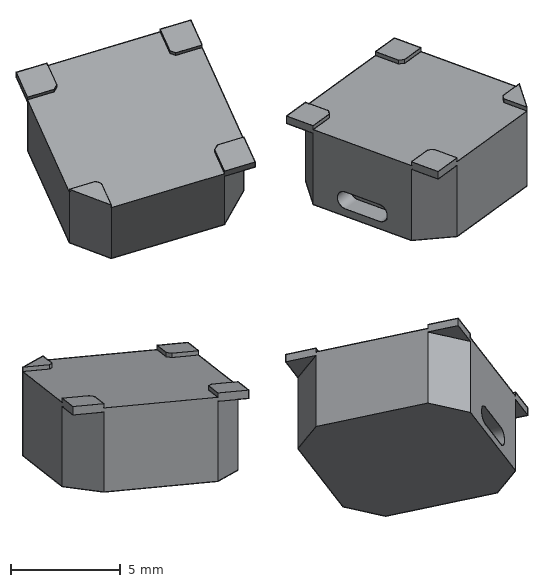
import cadquery as cq

side = 8.5
total_height = 4.2
pad_step = 0.2
body_height = total_height - pad_step
corner_cut = 1.5

pad_side = corner_cut
pad_thickness = 0.4
pad_inner_chamfer = 0.2

slot_length = 2.8
slot_height = 0.9
slot_center_z = 0.85
slot_depth = 1.0

half = side / 2


def make_body():
    block = cq.Workplane("XY").box(side, side, body_height, centered=(True, True, False))
    return block.edges("|Z").chamfer(corner_cut)


def make_pad(x_sign, y_sign):
    """Square pad filling one corner, with the pad corner nearest the centre chamfered."""
    center = half - pad_side / 2
    bottom_z = total_height - pad_thickness
    inner_x = "<X" if x_sign > 0 else ">X"
    inner_y = "<Y" if y_sign > 0 else ">Y"
    return (
        cq.Workplane("XY", origin=(x_sign * center, y_sign * center, bottom_z))
        .box(pad_side, pad_side, pad_thickness, centered=(True, True, False))
        .edges(f"|Z and {inner_x} and {inner_y}")
        .chamfer(pad_inner_chamfer)
    )


def make_pad_trim():
    """Triangular prism that trims the +X -Y pad flush with the body's cut corner."""
    return (
        cq.Workplane("XY")
        .moveTo(half, -half)
        .lineTo(half, -half + corner_cut)
        .lineTo(half - corner_cut, -half)
        .close()
        .extrude(total_height)
    )


def make_slot():
    return (
        cq.Workplane("YZ", origin=(-half, 0, slot_center_z))
        .slot2D(slot_length, slot_height)
        .extrude(slot_depth)
    )


result = make_body()
for x_sign in (-1, 1):
    for y_sign in (-1, 1):
        result = result.union(make_pad(x_sign, y_sign))
result = result.cut(make_pad_trim())
result = result.cut(make_slot())